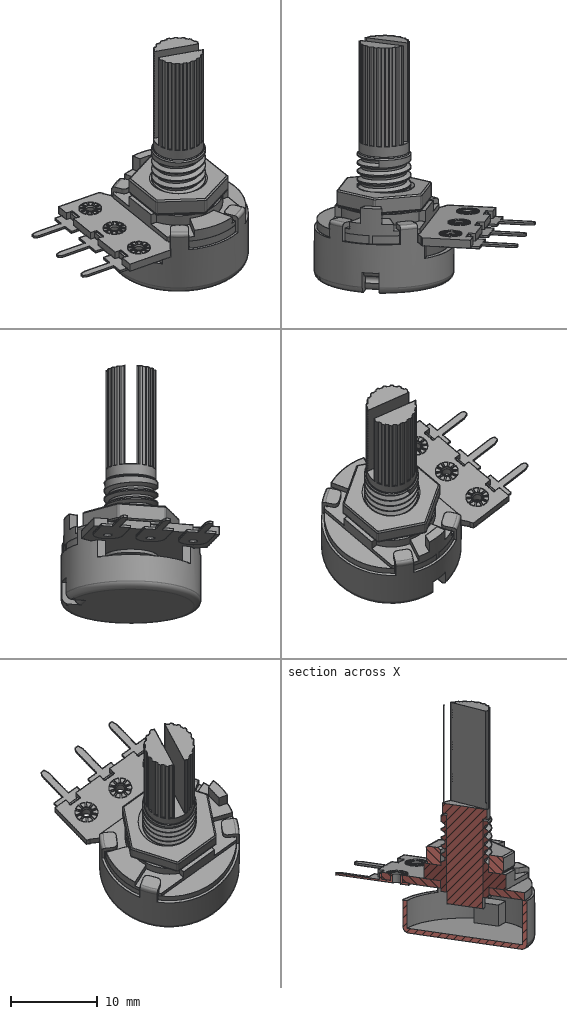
import cadquery as cq
import math


OVERRUN = 1.0
OVERALL_DEPTH = 24.74

CAN_R = 8.05
CAN_WALL = 0.62
CAN_INNER_R = CAN_R - CAN_WALL
CAN_RIM_Z = 5.94
CAN_BOTTOM_FILLET = 0.78
OPENING_Y = -5.85
OPENING_Z = 3.92
TAB_ANGLES = (32.5, 147.5, 212.5, 327.5)
TAB_WIDTH = 2.1
TAB_TIP_R = 6.1
TAB_TOP_Z = 8.1
TAB_BEND_R = 0.43
TAB_CORNER_R = 0.55
TAB_SLOT_CLEARANCE = 0.05
DENT_WIDTH = 1.94
DENT_TOP_Z = 2.53
DENT_DEPTH = 1.6
DENT_BACK_X = -CAN_R + DENT_DEPTH
DENT_LIP_R = 0.8
DENT_GROOVE_R = 0.42

WAFER_R = 7.75
WAFER_BOTTOM_Z = CAN_RIM_Z
WAFER_TOP_Z = 6.9
BOARD_HALF_WIDTH = 7.46
BOARD_FRONT_Y = -11.62
BOARD_SHOULDER_Y = -5.98
BOARD_NECK = (6.1, -5.17)
KEY_WIDTH = 0.42

COVER_R = WAFER_R
COVER_HALF_DEPTH = 5.32
COVER_TOP_Z = 7.47
PAD_TOP_Z = 8.3
PAD_HALF_WIDTH_INNER = 1.63
PAD_HALF_WIDTH_OUTER = 2.78
LOCATING_LUG_TOP_Z = 10.13
LOCATING_LUG_INNER_X = 6.65
LOCATING_LUG_OUTER_HALF_WIDTH = 1.3
LOCATING_LUG_INNER_HALF_WIDTH = 0.95
SEAT_R = 5.11
SEAT_TOP_Z = 8.75
SEAT_BAR_WIDTH = 4.62
BUSHING_BOTTOM_Z = 5.57
BUSHING_TOP_Z = 14.84
BUSHING_CHAMFER = 0.15

THREAD_R = 3.1
THREAD_DEPTH = 0.5
THREAD_PITCH = 1.0
THREAD_TURNS = 5
THREAD_END_Z = 14.31
GROOVE_MOUTH = 0.86
GROOVE_ROOT = 0.25
GROOVE_OVERCUT = 0.1

NUT_ACROSS_FLATS = 10.0
NUT_TOP_Z = 10.83
NUT_CORNER_R = 0.28
NUT_CHAMFER = 0.17
NUT_BASE_HEIGHT = 0.14
RELIEF_R = 3.33
RELIEF_BOTTOM_R = 2.75
RELIEF_DEPTH = 0.4
RELIEF_SHIFT = 0.26
RELIEF_ANGLE = -35

SHAFT_R = 2.9
SHAFT_TOP_Z = 28.0
SHAFT_SHOULDER_Z = 14.99
SHAFT_NECK_R = 2.33
SHAFT_BOTTOM_Z = 4.2
SPLINE_BOTTOM_Z = 16.23
SPLINE_COUNT = 20
SPLINE_MOUTH_WIDTH = 0.62
SPLINE_ROOT_WIDTH = 0.36
SPLINE_DEPTH = 0.14
SLOT_WIDTH = 1.36
SLOT_ANGLE = 75

TERMINAL_PITCH = 5.08
TERMINAL_XS = (-TERMINAL_PITCH, 0, TERMINAL_PITCH)
TERMINAL_BOTTOM_Z = 5.75
TERMINAL_THICKNESS = 0.26
EYELET_Y = -8.82
EYELET_R = 1.32
EYELET_THICKNESS = 0.08
EYELET_SLIT_COUNT = 10
EYELET_SLIT_WIDTH = 0.2
BARREL_R = 0.72
BARREL_HOLE_R = 0.5
BARREL_FLARE_R = 0.6
BARREL_FLARE_DEPTH = 0.2
PLATE_HALF_WIDTH = 1.73
PLATE_ROUND_Y = -9.0
PLATE_FRONT_Y = -12.57
TAIL_HALF_WIDTH = 0.42
TAIL_TAPER_Y = -16.05
TAIL_TIP_Y = CAN_R - OVERALL_DEPTH
TAIL_TIP_HALF_WIDTH = 0.22
STOP_WIDTH = 1.48
STOP_BACK_Y = -10.8
STOP_THICKNESS = 0.28
STOP_TOP_Z = 6.72


def cylinder(radius, bottom_z, top_z):
    """Cylinder about Z with its seam on the -X side."""
    shape = cq.Workplane("XY").workplane(offset=bottom_z).circle(radius).extrude(top_z - bottom_z)
    return turned(shape, 180)


def prism(points, bottom_z, top_z):
    return cq.Workplane("XY").workplane(offset=bottom_z).polyline(points).close().extrude(top_z - bottom_z)


def block(x_range, y_range, z_range):
    size = [high - low for low, high in (x_range, y_range, z_range)]
    low_corner = (x_range[0], y_range[0], z_range[0])
    return cq.Workplane("XY").box(*size, centered=False).translate(low_corner)


def turned(shape, angle):
    return shape.rotate((0, 0, 0), (0, 0, 1), angle)


def fold_over_tab(angle):
    """Tab that rises from the can wall and folds inward over the cover."""
    half = TAB_WIDTH / 2
    outside = cylinder(CAN_R, CAN_RIM_Z, TAB_TOP_Z).faces(">Z").edges().fillet(TAB_BEND_R)
    strip = block((TAB_TIP_R, CAN_R + OVERRUN), (-half, half), (CAN_RIM_Z, TAB_TOP_Z))
    strip = strip.edges("|Z and <X").fillet(TAB_CORNER_R)
    under_fold = cylinder(CAN_INNER_R, CAN_RIM_Z, COVER_TOP_Z)
    return turned(outside.intersect(strip).cut(under_fold), angle)


def dent_backing():
    """Metal behind the dent in the -X side of the wall."""
    half = DENT_WIDTH / 2 + CAN_WALL
    thickness = CAN_WALL + DENT_GROOVE_R
    backing = block((-CAN_R, DENT_BACK_X + thickness), (-half, half), (0, DENT_TOP_Z + CAN_WALL))
    return backing.intersect(cylinder(CAN_INNER_R, 0, CAN_RIM_Z))


def dent():
    """Hollow of the dent: curled-in upper lip, then a round groove, then a straight lower wall."""
    groove_top_z = DENT_TOP_Z - DENT_LIP_R
    groove_mid = (DENT_BACK_X + DENT_GROOVE_R, groove_top_z - DENT_GROOVE_R)
    lip_mid = DENT_LIP_R * math.sin(math.radians(45))
    outside_x = -CAN_R - OVERRUN
    return (
        cq.Workplane("XZ", origin=(0, DENT_WIDTH / 2, 0))
        .moveTo(outside_x, 0)
        .lineTo(DENT_BACK_X, 0)
        .lineTo(DENT_BACK_X, groove_top_z - 2 * DENT_GROOVE_R)
        .threePointArc(groove_mid, (DENT_BACK_X, groove_top_z))
        .threePointArc(
            (DENT_BACK_X - lip_mid, DENT_TOP_Z - lip_mid), (DENT_BACK_X - DENT_LIP_R, DENT_TOP_Z)
        )
        .lineTo(outside_x, DENT_TOP_Z)
        .close()
        .extrude(DENT_WIDTH)
    )


def make_can():
    body = cylinder(CAN_R, 0, CAN_RIM_Z).faces("<Z").edges().fillet(CAN_BOTTOM_FILLET)
    body = body.cut(cylinder(CAN_INNER_R, CAN_WALL, CAN_RIM_Z))
    opening = block((-CAN_R, CAN_R), (-CAN_R, OPENING_Y), (OPENING_Z, CAN_RIM_Z))
    body = body.cut(opening)

    body = body.union(dent_backing()).cut(dent())
    back_edge = cq.selectors.NearestToPointSelector((DENT_BACK_X, 0, 0))
    body = body.faces("<Z").edges(back_edge).fillet(CAN_BOTTOM_FILLET)

    for angle in TAB_ANGLES:
        body = body.union(fold_over_tab(angle))
    return body


def tab_slots():
    """Clearance slots for the upright part of the can tabs."""
    half = TAB_WIDTH / 2 + TAB_SLOT_CLEARANCE
    slots = cq.Workplane("XY")
    for angle in TAB_ANGLES:
        slot = block((0, CAN_R + OVERRUN), (-half, half), (WAFER_BOTTOM_Z, COVER_TOP_Z))
        slot = slot.cut(cylinder(CAN_INNER_R, WAFER_BOTTOM_Z, COVER_TOP_Z))
        slots = slots.add(turned(slot, angle))
    return slots.combine()


def make_terminal(x):
    top_z = TERMINAL_BOTTOM_Z + TERMINAL_THICKNESS
    plate = (
        cq.Workplane("XY")
        .workplane(offset=TERMINAL_BOTTOM_Z)
        .moveTo(-PLATE_HALF_WIDTH, PLATE_ROUND_Y)
        .threePointArc((0, PLATE_ROUND_Y + PLATE_HALF_WIDTH), (PLATE_HALF_WIDTH, PLATE_ROUND_Y))
        .lineTo(PLATE_HALF_WIDTH, PLATE_FRONT_Y)
        .lineTo(TAIL_HALF_WIDTH, PLATE_FRONT_Y)
        .lineTo(TAIL_HALF_WIDTH, TAIL_TAPER_Y)
        .tangentArcPoint((TAIL_TIP_HALF_WIDTH, TAIL_TIP_Y), relative=False)
        .lineTo(-TAIL_TIP_HALF_WIDTH, TAIL_TIP_Y)
        .lineTo(-TAIL_HALF_WIDTH, TAIL_TAPER_Y)
        .lineTo(-TAIL_HALF_WIDTH, PLATE_FRONT_Y)
        .lineTo(-PLATE_HALF_WIDTH, PLATE_FRONT_Y)
        .close()
        .extrude(TERMINAL_THICKNESS)
    )
    stop = block(
        (-STOP_WIDTH / 2, STOP_WIDTH / 2),
        (STOP_BACK_Y - STOP_THICKNESS, STOP_BACK_Y),
        (TERMINAL_BOTTOM_Z, STOP_TOP_Z),
    )
    return plate.union(stop).union(make_eyelet(top_z)).cut(eyelet_hole()).translate((x, 0, 0))


def make_eyelet(plate_top_z):
    barrel = cylinder(BARREL_R, plate_top_z, WAFER_TOP_Z + EYELET_THICKNESS)
    flange = cylinder(EYELET_R, WAFER_TOP_Z, WAFER_TOP_Z + EYELET_THICKNESS)
    half = EYELET_SLIT_WIDTH / 2
    for index in range(EYELET_SLIT_COUNT):
        slit = block((0, EYELET_R), (-half, half), (WAFER_TOP_Z, WAFER_TOP_Z + EYELET_THICKNESS))
        flange = flange.cut(turned(slit, 90 + index * 360 / EYELET_SLIT_COUNT))
    return barrel.union(flange).translate((0, EYELET_Y, 0))


def eyelet_hole():
    top_z = WAFER_TOP_Z + EYELET_THICKNESS
    hole = cylinder(BARREL_HOLE_R, TERMINAL_BOTTOM_Z, top_z)
    flare = (
        cq.Workplane("XY")
        .workplane(offset=top_z - BARREL_FLARE_DEPTH)
        .circle(BARREL_HOLE_R)
        .workplane(offset=BARREL_FLARE_DEPTH)
        .circle(BARREL_FLARE_R)
        .loft()
    )
    return hole.union(flare).translate((0, EYELET_Y, 0))


def make_wafer():
    neck_x, neck_y = BOARD_NECK
    board = prism(
        [
            (neck_x, neck_y),
            (BOARD_HALF_WIDTH, BOARD_SHOULDER_Y),
            (BOARD_HALF_WIDTH, BOARD_FRONT_Y),
            (-BOARD_HALF_WIDTH, BOARD_FRONT_Y),
            (-BOARD_HALF_WIDTH, BOARD_SHOULDER_Y),
            (-neck_x, neck_y),
        ],
        WAFER_BOTTOM_Z,
        WAFER_TOP_Z,
    )
    body = cylinder(WAFER_R, WAFER_BOTTOM_Z, WAFER_TOP_Z).union(board)
    body = body.cut(cylinder(THREAD_R, WAFER_BOTTOM_Z, WAFER_TOP_Z)).cut(tab_slots()).cut(cover_key())
    for x in TERMINAL_XS:
        notch = block(
            (x - STOP_WIDTH / 2, x + STOP_WIDTH / 2),
            (BOARD_FRONT_Y, STOP_BACK_Y),
            (WAFER_BOTTOM_Z, WAFER_TOP_Z),
        )
        barrel_hole = cylinder(BARREL_R, WAFER_BOTTOM_Z, WAFER_TOP_Z).translate((x, EYELET_Y, 0))
        body = body.cut(notch).cut(barrel_hole).cut(make_terminal(x))
    return body


def cover_key():
    """Small key under the cover that drops into the edge of the wafer on the -X side."""
    half = KEY_WIDTH / 2
    bar = block((-COVER_R - OVERRUN, -CAN_INNER_R), (-half, half), (WAFER_BOTTOM_Z, WAFER_TOP_Z))
    return bar.intersect(cylinder(COVER_R, WAFER_BOTTOM_Z, WAFER_TOP_Z))


def raised_pads():
    inner_x = math.sqrt(SEAT_R**2 - PAD_HALF_WIDTH_INNER**2)
    pad = prism(
        [
            (0, PAD_HALF_WIDTH_INNER),
            (inner_x, PAD_HALF_WIDTH_INNER),
            (COVER_R, PAD_HALF_WIDTH_OUTER),
            (COVER_R, -PAD_HALF_WIDTH_OUTER),
            (inner_x, -PAD_HALF_WIDTH_INNER),
            (0, -PAD_HALF_WIDTH_INNER),
        ],
        WAFER_TOP_Z,
        PAD_TOP_Z,
    )
    pads = pad.union(turned(pad, 180))
    return pads.intersect(cylinder(COVER_R, WAFER_TOP_Z, PAD_TOP_Z))


def locating_lug():
    lug = prism(
        [
            (-LOCATING_LUG_INNER_X, LOCATING_LUG_INNER_HALF_WIDTH),
            (-COVER_R, LOCATING_LUG_OUTER_HALF_WIDTH),
            (-COVER_R, -LOCATING_LUG_OUTER_HALF_WIDTH),
            (-LOCATING_LUG_INNER_X, -LOCATING_LUG_INNER_HALF_WIDTH),
        ],
        WAFER_TOP_Z,
        LOCATING_LUG_TOP_Z,
    )
    return lug.intersect(cylinder(COVER_R, WAFER_TOP_Z, LOCATING_LUG_TOP_Z))


def thread_groove():
    """Right-handed groove that runs up the bushing and stops on the -X side."""
    outer_r = THREAD_R + GROOVE_OVERCUT
    flank = (GROOVE_MOUTH - GROOVE_ROOT) / 2 / THREAD_DEPTH
    outer_half = GROOVE_MOUTH / 2 + flank * GROOVE_OVERCUT
    root_half = GROOVE_ROOT / 2
    root_r = THREAD_R - THREAD_DEPTH
    helix = cq.Wire.makeHelix(THREAD_PITCH, THREAD_PITCH * THREAD_TURNS, THREAD_R)
    groove = (
        cq.Workplane("XZ")
        .moveTo(root_r, -root_half)
        .lineTo(outer_r, -outer_half)
        .lineTo(outer_r, outer_half)
        .lineTo(root_r, root_half)
        .close()
        .sweep(cq.Workplane(obj=helix), isFrenet=True)
    )
    return turned(groove, 180).translate((0, 0, THREAD_END_Z - THREAD_PITCH * THREAD_TURNS))


def make_cover():
    plate = cylinder(COVER_R, WAFER_TOP_Z, COVER_TOP_Z)
    depth = (-COVER_HALF_DEPTH, COVER_HALF_DEPTH)
    strip = block((-COVER_R, COVER_R), depth, (WAFER_TOP_Z, COVER_TOP_Z))
    half_bar = SEAT_BAR_WIDTH / 2
    seat_bar = block((-half_bar, half_bar), depth, (WAFER_TOP_Z, SEAT_TOP_Z))
    bushing = cylinder(THREAD_R, BUSHING_BOTTOM_Z, BUSHING_TOP_Z)
    bushing = bushing.faces(">Z").edges().chamfer(BUSHING_CHAMFER).cut(thread_groove())
    body = plate.intersect(strip).cut(tab_slots())
    body = body.union(cylinder(SEAT_R, WAFER_TOP_Z, SEAT_TOP_Z)).union(seat_bar)
    body = body.union(raised_pads()).union(locating_lug()).union(cover_key()).union(bushing)
    return body.cut(cylinder(SHAFT_NECK_R, BUSHING_BOTTOM_Z, BUSHING_TOP_Z))


def hexagon(across_flats, bottom_z, top_z):
    """Hexagonal prism with rounded corners, two of them on the X axis."""
    corner_diameter = across_flats / math.cos(math.radians(30))
    shape = cq.Workplane("XY").workplane(offset=bottom_z).polygon(6, corner_diameter)
    return shape.extrude(top_z - bottom_z).edges("|Z").fillet(NUT_CORNER_R)


def make_nut():
    base_top_z = SEAT_TOP_Z + NUT_BASE_HEIGHT
    body = hexagon(NUT_ACROSS_FLATS, base_top_z, NUT_TOP_Z)
    body = body.faces(">Z").chamfer(NUT_CHAMFER)
    body = body.faces("<Z").chamfer(NUT_CHAMFER)
    body = body.union(hexagon(NUT_ACROSS_FLATS - 2 * NUT_CHAMFER, SEAT_TOP_Z, base_top_z))
    relief = (
        cq.Workplane("XY")
        .workplane(offset=NUT_TOP_Z - RELIEF_DEPTH)
        .circle(RELIEF_BOTTOM_R)
        .workplane(offset=RELIEF_DEPTH)
        .circle(RELIEF_R)
        .loft()
        .translate((RELIEF_SHIFT, 0, 0))
    )
    relief = turned(relief, RELIEF_ANGLE)
    return body.cut(cylinder(THREAD_R, SEAT_TOP_Z, NUT_TOP_Z)).cut(relief)


def make_shaft():
    body = cylinder(SHAFT_R, SHAFT_SHOULDER_Z, SHAFT_TOP_Z)
    root_x = SHAFT_R - SPLINE_DEPTH
    half_root = SPLINE_ROOT_WIDTH / 2
    half_mouth = SPLINE_MOUTH_WIDTH / 2
    groove = prism(
        [
            (root_x, half_root),
            (SHAFT_R, half_mouth),
            (SHAFT_R + OVERRUN, half_mouth),
            (SHAFT_R + OVERRUN, -half_mouth),
            (SHAFT_R, -half_mouth),
            (root_x, -half_root),
        ],
        SPLINE_BOTTOM_Z,
        SHAFT_TOP_Z,
    )
    for index in range(SPLINE_COUNT):
        body = body.cut(turned(groove, index * 360 / SPLINE_COUNT))
    slot = block(
        (-SHAFT_R, SHAFT_R), (-SLOT_WIDTH / 2, SLOT_WIDTH / 2), (SPLINE_BOTTOM_Z, SHAFT_TOP_Z)
    )
    body = body.cut(turned(slot, SLOT_ANGLE))
    return body.union(cylinder(SHAFT_NECK_R, SHAFT_BOTTOM_Z, SHAFT_SHOULDER_Z))


can = make_can()
wafer = make_wafer()
cover = make_cover()
nut = make_nut()
shaft = make_shaft()
terminals = [make_terminal(x) for x in TERMINAL_XS]

bodies = [can, wafer, cover, nut, shaft, *terminals]
result = cq.Compound.makeCompound([body.solids().val() for body in bodies])